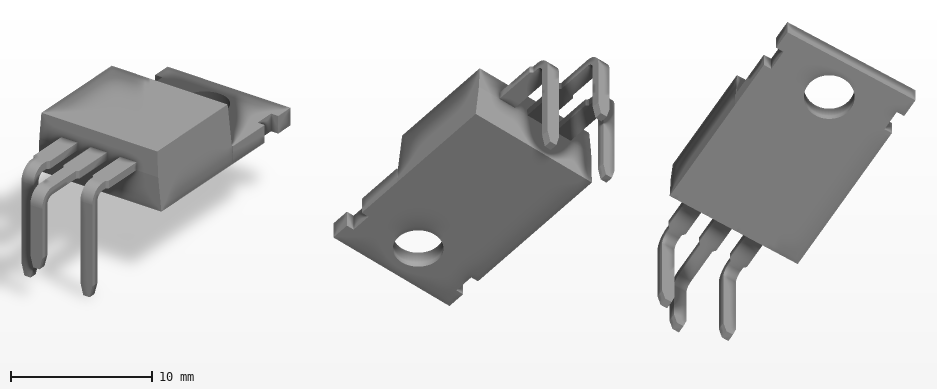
import cadquery as cq
import math


package_width = 10.65
housing_top_width = 10.05
housing_height = 4.77
parting_height = 2.76
housing_back = 8.9
housing_top_back = 8.7
front_top_setback = 0.07
front_bottom_setback = 0.15

tab_thickness = 1.42
tab_end = 15.97
hole_diameter = 3.6
hole_center = 13.0
notch_depth = 0.61
notch_start = 12.8
notch_end = 14.45

lead_embed_depth = 1.0
lead_pitch = 2.55
lead_thickness = 0.61
lead_wide = 1.42
lead_narrow = 1.05
lead_tip_width = 0.55
lead_tip_length = 0.95
lead_bend_outer_radius = 1.23
shoulder_reach = 3.35
outer_lead_reach = 5.13
middle_lead_reach = 7.65
outer_lead_bottom = -5.34
middle_lead_bottom = -2.79
lead_top = parting_height + lead_thickness


def make_housing():
    """Molded block: side profile intersected with its tapered cross-section."""
    side_profile = (
        cq.Workplane("YZ")
        .moveTo(front_bottom_setback, 0)
        .lineTo(0, parting_height)
        .lineTo(front_top_setback, housing_height)
        .lineTo(housing_top_back, housing_height)
        .lineTo(housing_back, tab_thickness)
        .lineTo(housing_back, 0)
        .close()
        .extrude(package_width / 2, both=True)
    )
    cross_section = (
        cq.Workplane("XZ")
        .moveTo(-package_width / 2, 0)
        .lineTo(package_width / 2, 0)
        .lineTo(housing_top_width / 2, housing_height)
        .lineTo(-housing_top_width / 2, housing_height)
        .close()
        .extrude(-housing_back)
    )
    return side_profile.intersect(cross_section)


def make_tab():
    """Flat mounting tab with a through hole and a notch in each side."""
    tab = cq.Workplane("XY").box(
        package_width, tab_end - housing_back, tab_thickness, centered=(True, False, False)
    ).translate((0, housing_back, 0))
    hole = cq.Workplane("XY").center(0, hole_center).circle(hole_diameter / 2).extrude(tab_thickness)
    notches = (
        cq.Workplane("XY")
        .pushPoints([(side * package_width / 2, (notch_start + notch_end) / 2) for side in (-1, 1)])
        .rect(2 * notch_depth, notch_end - notch_start)
        .extrude(tab_thickness)
    )
    return tab.cut(hole).cut(notches)


def bent_strip(reach, bottom):
    """Constant-thickness strip at full lead width, bent down through 90 degrees."""
    outer_radius = lead_bend_outer_radius
    inner_radius = outer_radius - lead_thickness
    bend_y = outer_radius - reach
    bend_z = lead_top - outer_radius
    diagonal = math.sqrt(0.5)
    return (
        cq.Workplane("YZ")
        .moveTo(lead_embed_depth, lead_top)
        .lineTo(bend_y, lead_top)
        .threePointArc(
            (bend_y - outer_radius * diagonal, bend_z + outer_radius * diagonal),
            (-reach, bend_z),
        )
        .lineTo(-reach, bottom)
        .lineTo(lead_thickness - reach, bottom)
        .lineTo(lead_thickness - reach, bend_z)
        .threePointArc(
            (bend_y - inner_radius * diagonal, bend_z + inner_radius * diagonal),
            (bend_y, parting_height),
        )
        .lineTo(lead_embed_depth, parting_height)
        .close()
        .extrude(lead_wide / 2, both=True)
    )


def make_lead(x, reach, bottom):
    """Lead with a 45-degree shoulder and tapered tip; its root extends into the housing."""
    shoulder_end = shoulder_reach + (lead_wide - lead_narrow) / 2
    plan_outline = (
        cq.Workplane("XY")
        .workplane(offset=bottom)
        .polyline([
            (-lead_wide / 2, lead_embed_depth),
            (-lead_wide / 2, -shoulder_reach),
            (-lead_narrow / 2, -shoulder_end),
            (-lead_narrow / 2, -reach),
            (lead_narrow / 2, -reach),
            (lead_narrow / 2, -shoulder_end),
            (lead_wide / 2, -shoulder_reach),
            (lead_wide / 2, lead_embed_depth),
        ])
        .close()
        .extrude(lead_top - bottom)
    )
    tip_outline = (
        cq.Workplane("XZ")
        .workplane(offset=-lead_embed_depth)
        .polyline([
            (-lead_wide / 2, lead_top),
            (-lead_wide / 2, parting_height),
            (-lead_narrow / 2, parting_height),
            (-lead_narrow / 2, bottom + lead_tip_length),
            (-lead_tip_width / 2, bottom),
            (lead_tip_width / 2, bottom),
            (lead_narrow / 2, bottom + lead_tip_length),
            (lead_narrow / 2, parting_height),
            (lead_wide / 2, parting_height),
            (lead_wide / 2, lead_top),
        ])
        .close()
        .extrude(reach + lead_embed_depth)
    )
    lead = bent_strip(reach, bottom).intersect(plan_outline).intersect(tip_outline)
    return lead.translate((x, 0, 0))


housing = make_housing()
tab = make_tab()
lead_layout = [
    (-lead_pitch, outer_lead_reach, outer_lead_bottom),
    (0, middle_lead_reach, middle_lead_bottom),
    (lead_pitch, outer_lead_reach, outer_lead_bottom),
]
leads = [make_lead(x, reach, bottom) for x, reach, bottom in lead_layout]

for lead in leads:
    housing = housing.cut(lead)

result = cq.Compound.makeCompound([housing.val(), tab.val(), *[lead.solids().val() for lead in leads]])